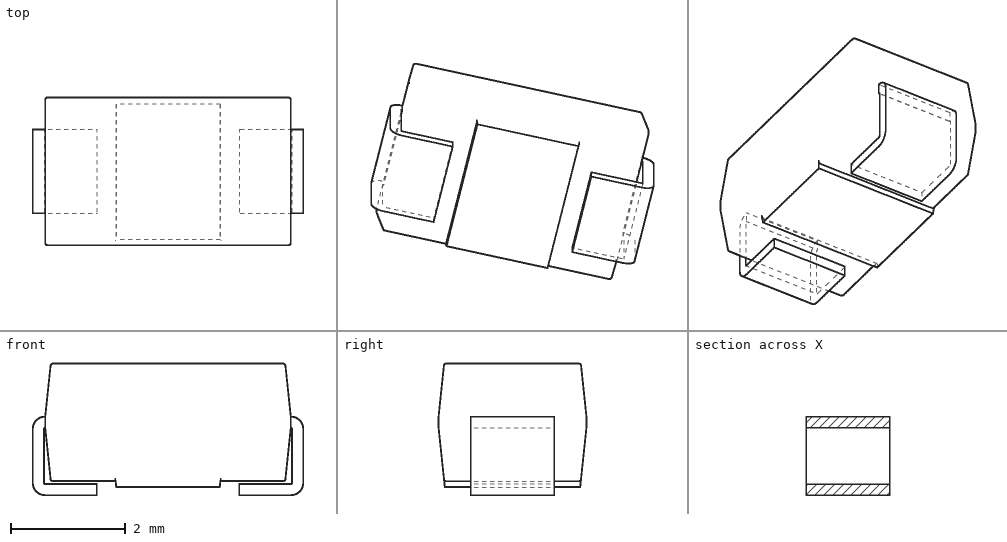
import cadquery as cq
import math

overall_length = 4.72

lead_width = 1.465
lead_thickness = 0.2
bend_inner_radius = 0.02
bend_outer_radius = bend_inner_radius + lead_thickness
foot_length = 1.12
lead_top = 1.375

housing_length = overall_length - 2 * bend_outer_radius
housing_width = 2.58
housing_top = 2.3
housing_bottom = 0.245
band_height = 0.2
band_top = lead_top
band_bottom = band_top - band_height
draft_angle = 6.0
edge_radius = 0.045

standoff_length = 2.025
standoff_bottom = 0.14


def tapered_block(length, width, base_z, height):
    """Rectangular block that narrows with the draft angle away from base_z."""
    return (
        cq.Workplane("XY")
        .workplane(offset=base_z)
        .rect(length, width)
        .extrude(height, taper=draft_angle)
    )


def make_housing():
    """Molded housing with rounded edges and the standoff below it."""
    band = (
        cq.Workplane("XY")
        .workplane(offset=band_bottom)
        .rect(housing_length, housing_width)
        .extrude(band_height)
    )
    upper_half = tapered_block(housing_length, housing_width, band_top, housing_top - band_top)
    lower_half = tapered_block(housing_length, housing_width, band_bottom, housing_bottom - band_bottom)
    shell = band.union(upper_half).union(lower_half)

    shell = shell.edges("not #Z").fillet(edge_radius)
    shell = shell.faces("<Z or >Z").edges().fillet(edge_radius)

    standoff = tapered_block(standoff_length, housing_width, band_bottom, standoff_bottom - band_bottom)
    return shell.union(standoff)


def make_lead(side):
    """C-shaped lead that butts against the housing end; side is -1 for -X, +1 for +X."""
    outer_x = overall_length / 2
    inner_x = outer_x - lead_thickness
    bend_x = outer_x - bend_outer_radius
    foot_tip_x = outer_x - foot_length
    lower_bend_z = bend_outer_radius
    upper_bend_z = lead_top - bend_outer_radius
    outer_diagonal = bend_outer_radius * math.sqrt(0.5)
    inner_diagonal = bend_inner_radius * math.sqrt(0.5)

    return (
        cq.Workplane("XZ")
        .moveTo(side * foot_tip_x, 0)
        .lineTo(side * bend_x, 0)
        .threePointArc(
            (side * (bend_x + outer_diagonal), lower_bend_z - outer_diagonal),
            (side * outer_x, lower_bend_z),
        )
        .lineTo(side * outer_x, upper_bend_z)
        .threePointArc(
            (side * (bend_x + outer_diagonal), upper_bend_z + outer_diagonal),
            (side * bend_x, lead_top),
        )
        .lineTo(side * bend_x, lead_top - lead_thickness)
        .threePointArc(
            (side * (bend_x + inner_diagonal), upper_bend_z + inner_diagonal),
            (side * inner_x, upper_bend_z),
        )
        .lineTo(side * inner_x, lower_bend_z)
        .threePointArc(
            (side * (bend_x + inner_diagonal), lower_bend_z - inner_diagonal),
            (side * bend_x, lead_thickness),
        )
        .lineTo(side * foot_tip_x, lead_thickness)
        .close()
        .extrude(lead_width / 2, both=True)
    )


housing = make_housing()
leads = [make_lead(side) for side in (-1, 1)]

result = cq.Compound.makeCompound([housing.val(), *[lead.val() for lead in leads]])